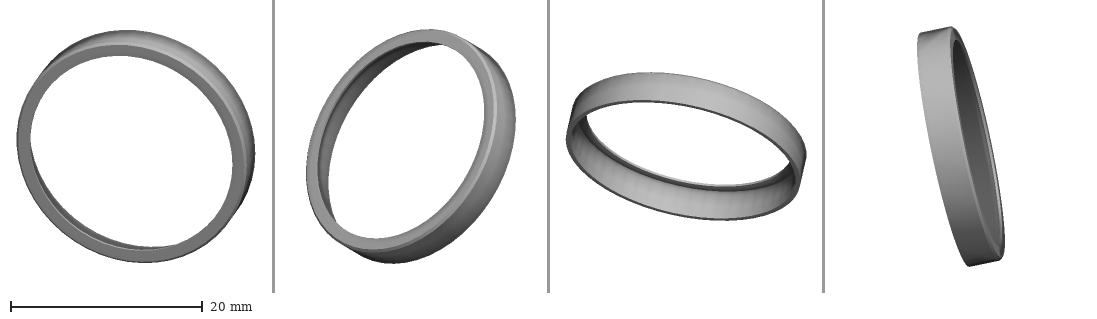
import cadquery as cq

outer_diameter = 24.97
lip_bore_diameter = 21.97
wall_thickness = 0.5
width = 3.5
lip_thickness = 0.25
chamfer = 0.25

recess_diameter = outer_diameter - 2 * wall_thickness
recess_depth = width - lip_thickness

back_plane = cq.Workplane("XZ", origin=(0, width / 2, 0))

body = back_plane.circle(outer_diameter / 2).extrude(width)
body = body.faces("<Y").edges().chamfer(chamfer)

lip_bore = back_plane.circle(lip_bore_diameter / 2).extrude(width)
recess = back_plane.circle(recess_diameter / 2).extrude(recess_depth)

result = body.cut(lip_bore).cut(recess)